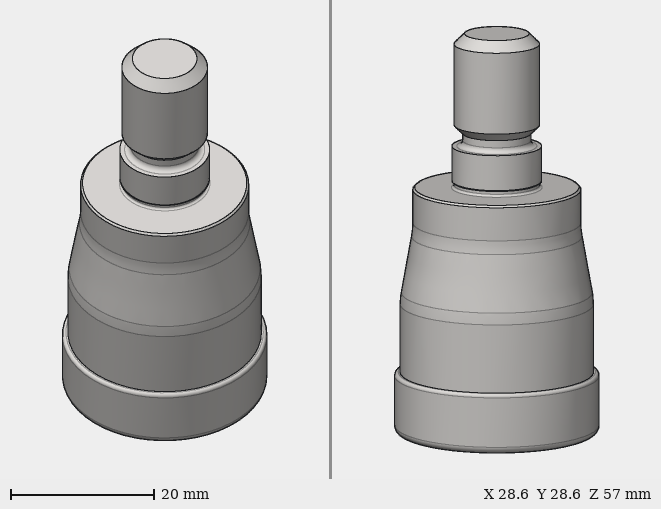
import cadquery as cq

total_height = 57.0

cap_diameter = 28.55
cap_height = 8.6
cap_top_round = 0.5
cap_bottom_round = 1.0

skirt_radius = 13.5
skirt_top = 18.35
flare_bottom_radius = 13.35
flare_bottom = 20.0
flare_top_radius = 11.9
flare_top = 28.05
head_radius = 11.75
head_bottom = 30.0
head_top = 35.0
head_chamfer = 0.3

collar_radius = 6.25
collar_bottom = 35.9
collar_top = 40.9
neck_top_chamfer = 0.15
neck_radius = 6.0
neck_round = 0.35
groove_radius = 4.8
groove_round = 0.8
shank_radius = 6.0
shank_bottom = 43.95
groove_cone_height = shank_radius - groove_radius
tip_chamfer = 1.5


def make_cap():
    """Solid disc with rounded upper and lower rims."""
    disc = cq.Workplane("XY").circle(cap_diameter / 2).extrude(cap_height)
    disc = disc.faces(">Z").edges().fillet(cap_top_round)
    return disc.faces("<Z").edges().fillet(cap_bottom_round)


def make_barrel_with_stud():
    """Turned barrel and stud, standing on the top face of the cap."""
    profile = (
        cq.Workplane("XZ")
        .moveTo(0, cap_height)
        .lineTo(skirt_radius, cap_height)
        .lineTo(skirt_radius, skirt_top)
        .tangentArcPoint((flare_bottom_radius, flare_bottom), relative=False)
        .lineTo(flare_top_radius, flare_top)
        .tangentArcPoint((head_radius, head_bottom), relative=False)
        .lineTo(head_radius, head_top - head_chamfer)
        .lineTo(head_radius - head_chamfer, head_top)
        .lineTo(neck_radius + neck_round, head_top)
        .radiusArc((neck_radius, head_top + neck_round), neck_round)
        .lineTo(neck_radius, collar_bottom - neck_top_chamfer)
        .lineTo(neck_radius + neck_top_chamfer, collar_bottom)
        .lineTo(collar_radius, collar_bottom)
        .lineTo(collar_radius, collar_top)
        .lineTo(groove_radius + groove_round, collar_top)
        .radiusArc((groove_radius, collar_top + groove_round), groove_round)
        .lineTo(groove_radius, shank_bottom - groove_cone_height)
        .lineTo(shank_radius, shank_bottom)
        .lineTo(shank_radius, total_height - tip_chamfer)
        .lineTo(shank_radius - tip_chamfer, total_height)
        .lineTo(0, total_height)
        .close()
    )
    return profile.revolve(360, (0, 0, 0), (0, 1, 0))


cap = make_cap()
barrel_with_stud = make_barrel_with_stud()

result = cq.Compound.makeCompound([cap.val(), barrel_with_stud.val()])